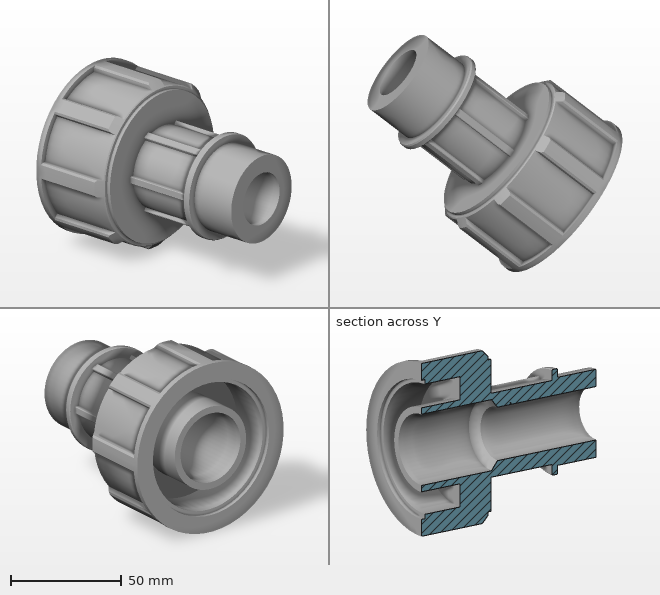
import cadquery as cq
import math

TOTAL_LENGTH = 100.0

NUT_DIAMETER = 82.0
NUT_LENGTH = 38.4
NUT_RIM_LENGTH = 2.9
NUT_CHAMFER = 3.4
GROOVE_FLOOR_RADIUS = 38.1
GRIP_COUNT = 8
GRIP_WIDTH = 8.4
GRIP_CHAMFER = 0.9
BORE_DIAMETER = 61.5
BORE_DEPTH = 22.0
COUNTERBORE_DIAMETER = 65.6
COUNTERBORE_DEPTH = 2.0
COLLAR_DIAMETER = 72.2
COLLAR_END = 40.2

TUBE_DIAMETER = 40.0
FLANGE_DIAMETER = 50.3
FLANGE_START = 74.7
FLANGE_END = 78.0
FLANGE_CHAMFER = 0.4
FLANGE_BACK_CHAMFER_LENGTH = 0.7
SPIGOT_DIAMETER = 41.9
RIB_COUNT = 6
RIB_WIDTH = 3.5
RIB_CHAMFER = 0.3
RIB_TIP_RADIUS = 21.9

MOUTH_DIAMETER = 33.5
OUTLET_DIAMETER = 25.1
TAPER_START = COLLAR_END
TAPER_LENGTH = 3.4


def cylinder(diameter, start, end):
    """Solid cylinder on the X axis between two X positions."""
    return cq.Workplane("YZ", origin=(start, 0, 0)).circle(diameter / 2).extrude(end - start)


def around_axis(body, count):
    """Copies of a body, evenly spaced about the X axis."""
    copies = cq.Workplane("YZ")
    for index in range(count):
        copies = copies.add(body.rotate((0, 0, 0), (1, 0, 0), index * 360 / count))
    return copies.combine()


def make_grips():
    """Raised grips with bevelled long edges along the nut."""
    half_width = GRIP_WIDTH / 2
    tip_half_width = half_width - GRIP_CHAMFER
    tip_radius = NUT_DIAMETER / 2
    edge_radius = math.sqrt(tip_radius**2 - tip_half_width**2)
    shoulder_radius = edge_radius - GRIP_CHAMFER
    grip = (
        cq.Workplane("YZ", origin=(NUT_RIM_LENGTH, 0, 0))
        .moveTo(BORE_DIAMETER / 2, -half_width)
        .lineTo(shoulder_radius, -half_width)
        .lineTo(edge_radius, -tip_half_width)
        .threePointArc((tip_radius, 0), (edge_radius, tip_half_width))
        .lineTo(shoulder_radius, half_width)
        .lineTo(BORE_DIAMETER / 2, half_width)
        .close()
        .extrude(NUT_LENGTH - NUT_RIM_LENGTH)
    )
    return around_axis(grip, GRIP_COUNT)


def make_nut():
    """Gripped nut with a chamfered back, an open front bore and a thin rear collar."""
    rim = cylinder(NUT_DIAMETER, 0, NUT_RIM_LENGTH)
    core = cylinder(2 * GROOVE_FLOOR_RADIUS, 0, NUT_LENGTH)
    envelope = cylinder(NUT_DIAMETER, 0, NUT_LENGTH).faces(">X").chamfer(NUT_CHAMFER)
    nut = core.union(make_grips()).intersect(envelope).union(rim)
    nut = nut.union(cylinder(COLLAR_DIAMETER, NUT_LENGTH, COLLAR_END))
    nut = nut.cut(cylinder(BORE_DIAMETER, 0, BORE_DEPTH))
    return nut.cut(cylinder(COUNTERBORE_DIAMETER, 0, COUNTERBORE_DEPTH))


def make_tail_piece():
    """Tube with long ribs, a flange and a plain spigot at the far end."""
    tube = cylinder(TUBE_DIAMETER, 0, FLANGE_START)
    rib = cq.Workplane("XY").box(
        FLANGE_START - COLLAR_END, RIB_TIP_RADIUS, RIB_WIDTH, centered=(False, False, True)
    )
    rib = rib.faces(">Y").edges("|X").chamfer(RIB_CHAMFER)
    ribs = around_axis(rib.translate((COLLAR_END, 0, 0)), RIB_COUNT)
    flange = cylinder(FLANGE_DIAMETER, FLANGE_START, FLANGE_END)
    flange = flange.faces("<X").chamfer(FLANGE_CHAMFER)
    flange = flange.faces(">X").chamfer(FLANGE_BACK_CHAMFER_LENGTH, FLANGE_CHAMFER)
    spigot = cylinder(SPIGOT_DIAMETER, FLANGE_START, TOTAL_LENGTH)
    return tube.union(ribs).union(flange).union(spigot)


def make_passage():
    """Through passage with a wide mouth, a short taper and a narrow outlet."""
    return (
        cq.Workplane("XY")
        .polyline(
            [
                (0, 0),
                (0, MOUTH_DIAMETER / 2),
                (TAPER_START, MOUTH_DIAMETER / 2),
                (TAPER_START + TAPER_LENGTH, OUTLET_DIAMETER / 2),
                (TOTAL_LENGTH, OUTLET_DIAMETER / 2),
                (TOTAL_LENGTH, 0),
            ]
        )
        .close()
        .revolve(360, (0, 0, 0), (1, 0, 0))
    )


result = make_nut().union(make_tail_piece()).cut(make_passage())